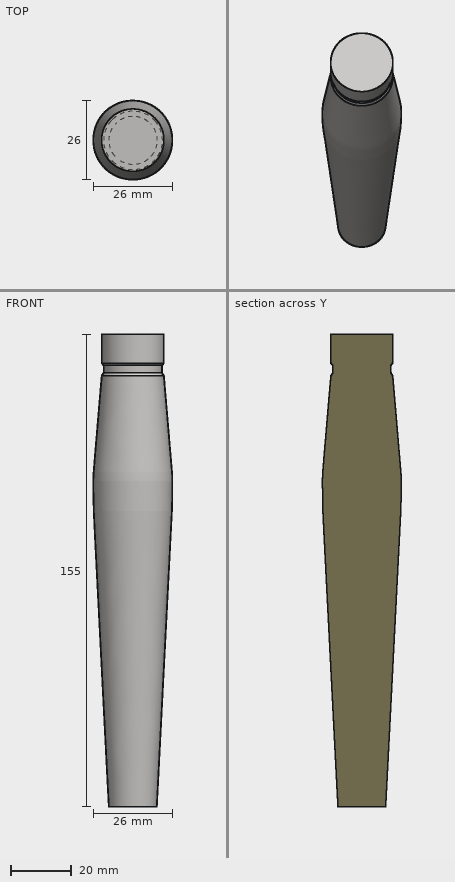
import cadquery as cq

total_height = 155.0
cap_bottom = 145.5
neck_top = 144.8
neck_bottom = 142.3
shoulder_height = 141.4
upper_cone_bottom = 110.0
belly_height = 107.0
lower_cone_top = 97.0

cap_radius = 10.2
neck_radius = 9.6
shoulder_radius = 10.2
upper_cone_bottom_radius = 12.9
belly_radius = 13.0
lower_cone_top_radius = 12.9
foot_radius = 7.9


def round_to_belly(radius, height):
    """Point midway along an arc that leaves the belly vertically and ends at (radius, height)."""
    drop = belly_radius - radius
    run = height - belly_height
    arc_radius = (drop**2 + run**2) / (2 * drop)
    middle_run = run / 2
    middle_drop = arc_radius - (arc_radius**2 - middle_run**2) ** 0.5
    return belly_radius - middle_drop, belly_height + middle_run


profile = (
    cq.Workplane("XZ")
    .lineTo(foot_radius, 0)
    .lineTo(lower_cone_top_radius, lower_cone_top)
    .threePointArc(
        round_to_belly(lower_cone_top_radius, lower_cone_top),
        (belly_radius, belly_height),
    )
    .threePointArc(
        round_to_belly(upper_cone_bottom_radius, upper_cone_bottom),
        (upper_cone_bottom_radius, upper_cone_bottom),
    )
    .lineTo(shoulder_radius, shoulder_height)
    .lineTo(neck_radius, neck_bottom)
    .lineTo(neck_radius, neck_top)
    .lineTo(cap_radius, cap_bottom)
    .lineTo(cap_radius, total_height)
    .lineTo(0, total_height)
    .close()
)

result = profile.revolve(360, (0, 0, 0), (0, 1, 0))